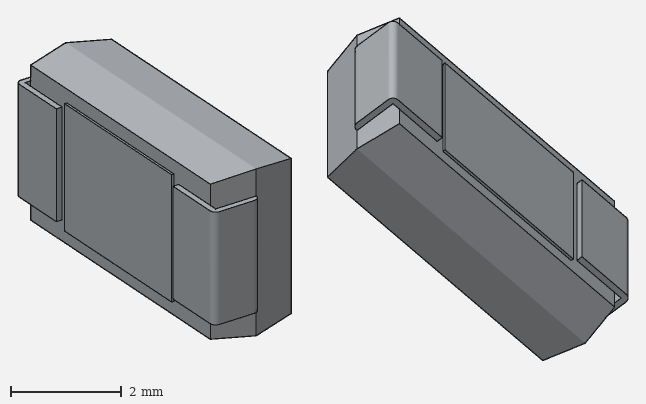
import cadquery as cq
import math


total_length = 6.3
total_depth = 1.91
lead_thickness = 0.125

housing_length = total_length - 2 * lead_thickness
housing_height = 3.4
housing_depth = total_depth - lead_thickness
half_depth = housing_depth / 2
end_taper = 0.17
side_taper = 0.12
mount_face_y = -half_depth

lead_width = 2.3
foot_length = 1.3

plate_length = 3.4
plate_height = 2.595
plate_thickness = 0.05


def make_housing_half(direction):
    """Tapered block from the parting plane to the front (-1) or back (1) face."""
    plane = cq.Plane(origin=(0, 0, 0), xDir=(1, 0, 0), normal=(0, direction, 0))
    return (
        cq.Workplane(plane)
        .rect(housing_length, housing_height)
        .workplane(offset=half_depth)
        .rect(housing_length - 2 * end_taper, housing_height - 2 * side_taper)
        .loft(ruled=True)
    )


def make_housing():
    """Two tapered halves that are widest where they meet."""
    return make_housing_half(-1).union(make_housing_half(1)).solids()


def make_lead(side):
    """L-shaped lead at the -X (-1) or +X (1) end, with its foot under the housing."""
    outer_x = side * total_length / 2
    inner_x = side * housing_length / 2
    foot_end_x = side * (total_length / 2 - foot_length)
    foot_y = mount_face_y - lead_thickness
    arc_reach = lead_thickness * math.sqrt(0.5)
    arc_x = inner_x + side * arc_reach
    return (
        cq.Workplane("XY")
        .workplane(offset=-lead_width / 2)
        .moveTo(inner_x, 0)
        .threePointArc((arc_x, arc_reach - lead_thickness), (outer_x, -lead_thickness))
        .lineTo(outer_x, mount_face_y)
        .threePointArc((arc_x, mount_face_y - arc_reach), (inner_x, foot_y))
        .lineTo(foot_end_x, foot_y)
        .lineTo(foot_end_x, mount_face_y)
        .lineTo(inner_x, mount_face_y)
        .close()
        .extrude(lead_width)
    )


def make_plate():
    """Thin rectangular plate lying on the mounting face between the two feet."""
    plate_center_y = mount_face_y - plate_thickness / 2
    return (
        cq.Workplane("XY")
        .box(plate_length, plate_thickness, plate_height)
        .translate((0, plate_center_y, 0))
    )


housing = make_housing()
leads = [make_lead(side) for side in (-1, 1)]
plate = make_plate()

result = cq.Compound.makeCompound([
    housing.val(),
    *[lead.val() for lead in leads],
    plate.val(),
])